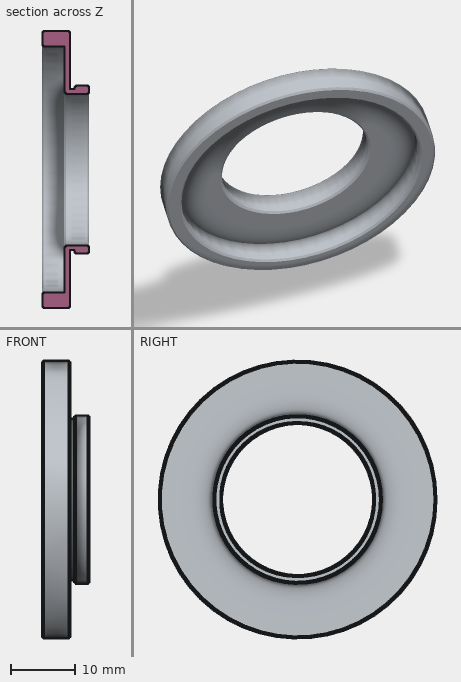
import cadquery as cq

total_length = 7.4
flange_width = 4.4
neck_width = 0.6
pocket_depth = 3.5

flange_diameter = 43.2
boss_diameter = 26.22
neck_diameter = 25.2
pocket_diameter = 38.28
bore_diameter = 23.5

edge_chamfer = 0.3


def disc(diameter, start, length):
    """Solid cylinder along X, beginning at X = start."""
    return cq.Workplane("YZ", origin=(start, 0, 0)).circle(diameter / 2).extrude(length)


def chamfered_disc(diameter, start, length):
    """Disc with both outer rims chamfered."""
    return disc(diameter, start, length).edges().chamfer(edge_chamfer)


def mouth_cone(diameter, start, inward):
    """Cutter for the chamfered rim of a hole at X = start.

    inward is +1 or -1, the direction along X that leads into the hole.
    """
    rim = cq.Workplane("YZ", origin=(start, 0, 0)).circle(diameter / 2 + edge_chamfer)
    return rim.workplane(offset=inward * edge_chamfer).circle(diameter / 2).loft(ruled=True)


boss_start = flange_width + neck_width

flange = chamfered_disc(flange_diameter, 0, flange_width)
neck = disc(neck_diameter, flange_width, neck_width)
boss = chamfered_disc(boss_diameter, boss_start, total_length - boss_start)
body = flange.union(neck).union(boss)

body = body.cut(disc(pocket_diameter, 0, pocket_depth))
body = body.cut(disc(bore_diameter, 0, total_length))

body = body.cut(mouth_cone(pocket_diameter, 0, 1))
body = body.cut(mouth_cone(bore_diameter, pocket_depth, 1))
body = body.cut(mouth_cone(bore_diameter, total_length, -1))

result = body